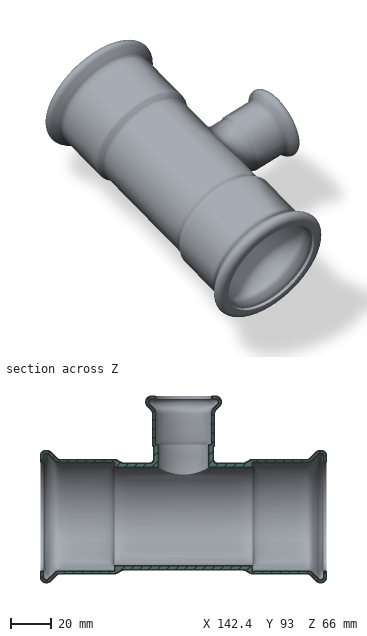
import cadquery as cq
import math

RUN_LENGTH = 142.4
BRANCH_REACH = 60.0
WALL = 1.5
NECK_WALL = 2.35
BEAD_ROUND = 3.0
FLARE_SLOPE = math.radians(45)
FLARE_ROUND = 2.0
STEP_SLOPE = math.radians(30)
JUNCTION_ROUND = 2.0

RUN_BEAD_RADIUS = 33.0
RUN_SOCKET_RADIUS = 57.0 / 2
RUN_NECK_RADIUS = 53.4 / 2
RUN_STEP_DEPTH = 37.0
RUN_STEP_ROUND = 2.0

BRANCH_BEAD_RADIUS = 18.85
BRANCH_SOCKET_RADIUS = 31.0 / 2
BRANCH_NECK_RADIUS = 29.8 / 2
BRANCH_STEP_DEPTH = 24.0
BRANCH_STEP_ROUND = 1.5


def on_circle(center, radius, angle):
    """(depth, radius) point on a circle, at an angle from the radial direction towards the tube middle.

    A negative radius gives the opposite side of the circle, as concave blends need.
    """
    return (center[0] + radius * math.sin(angle), center[1] + radius * math.cos(angle))


def add_bead_and_flare(profile, bead_radius, socket_radius, inset):
    """Continue a (depth, radius) profile from a mouth face, over the bead and down to the socket.

    An inset of zero gives the outer skin, and an inset of WALL gives the parallel inner skin.
    """
    bead_center = (BEAD_ROUND, bead_radius - BEAD_ROUND)
    bead_round = BEAD_ROUND - inset
    blend_round = FLARE_ROUND + inset

    blend_radius = socket_radius + FLARE_ROUND
    cone_gap = BEAD_ROUND + FLARE_ROUND
    blend_depth = bead_center[0] + (
        cone_gap - (blend_radius - bead_center[1]) * math.cos(FLARE_SLOPE)
    ) / math.sin(FLARE_SLOPE)
    blend_center = (blend_depth, blend_radius)

    return (
        profile.lineTo(inset, bead_center[1])
        .threePointArc(
            on_circle(bead_center, bead_round, (FLARE_SLOPE - math.pi / 2) / 2),
            on_circle(bead_center, bead_round, FLARE_SLOPE),
        )
        .lineTo(*on_circle(blend_center, -blend_round, FLARE_SLOPE))
        .threePointArc(
            on_circle(blend_center, -blend_round, FLARE_SLOPE / 2),
            on_circle(blend_center, -blend_round, 0),
        )
    )


def add_step(profile, socket_radius, neck_radius, depth, step_round):
    """Continue a profile along the socket and down the rounded cone to the neck."""
    round_run = step_round * math.sin(STEP_SLOPE)
    round_drop = step_round * (1 - math.cos(STEP_SLOPE))
    cone_drop = socket_radius - neck_radius - 2 * round_drop
    neck_depth = depth + 2 * round_run + cone_drop / math.tan(STEP_SLOPE)
    upper_center = (depth, socket_radius - step_round)
    lower_center = (neck_depth, neck_radius + step_round)
    return (
        profile.lineTo(depth, socket_radius)
        .threePointArc(
            on_circle(upper_center, step_round, STEP_SLOPE / 2),
            on_circle(upper_center, step_round, STEP_SLOPE),
        )
        .lineTo(*on_circle(lower_center, -step_round, STEP_SLOPE))
        .threePointArc(
            on_circle(lower_center, -step_round, STEP_SLOPE / 2),
            (neck_depth, neck_radius),
        )
    )


def revolve_profile(profile):
    """Close a profile on the tube axis and revolve it; the tube starts at the origin along +X."""
    return profile.close().revolve(360, (0, 0, 0), (1, 0, 0))


def tube_skin(length, bead_radius, socket_radius, neck_radius, step_depth, step_round):
    """Solid tube with bead, socket and neck, from its mouth to the given length."""
    profile = cq.Workplane("XY").moveTo(0, 0)
    profile = add_bead_and_flare(profile, bead_radius, socket_radius, 0)
    profile = add_step(profile, socket_radius, neck_radius, step_depth, step_round)
    return revolve_profile(profile.lineTo(length, neck_radius).lineTo(length, 0))


def tube_cavity(length, bead_radius, socket_radius, neck_radius, step_depth):
    """Inside of the tube: mouth, seal groove in the bead, socket, flat pipe stop and neck bore."""
    socket_bore_radius = socket_radius - WALL
    neck_bore_radius = neck_radius - NECK_WALL
    profile = cq.Workplane("XY").moveTo(0, 0)
    profile = profile.lineTo(0, socket_bore_radius).lineTo(WALL, socket_bore_radius)
    profile = add_bead_and_flare(profile, bead_radius, socket_radius, WALL)
    profile = profile.lineTo(step_depth, socket_bore_radius).lineTo(step_depth, neck_bore_radius)
    return revolve_profile(profile.lineTo(length, neck_bore_radius).lineTo(length, 0))


def place_run(half_tube):
    """Centre a half run on the origin and join it to its mirror image."""
    left_half = half_tube.translate((-RUN_LENGTH / 2, 0, 0))
    return left_half.union(left_half.mirror("YZ"))


def place_branch(tube):
    """Turn a tube so that its mouth faces +Y and it ends on the run axis."""
    return tube.rotate((0, 0, 0), (0, 0, 1), -90).translate((0, BRANCH_REACH, 0))


def fillet_junction(body):
    """Round the seam between the branch neck and the run neck."""
    seam_reach = BRANCH_NECK_RADIUS + JUNCTION_ROUND
    seam_zone = cq.selectors.BoxSelector(
        (-seam_reach, 0, -seam_reach),
        (seam_reach, RUN_NECK_RADIUS + JUNCTION_ROUND, seam_reach),
        boundingbox=True,
    )
    return body.edges(seam_zone).fillet(JUNCTION_ROUND)


run_sizes = (RUN_LENGTH / 2, RUN_BEAD_RADIUS, RUN_SOCKET_RADIUS, RUN_NECK_RADIUS, RUN_STEP_DEPTH)
branch_sizes = (
    BRANCH_REACH,
    BRANCH_BEAD_RADIUS,
    BRANCH_SOCKET_RADIUS,
    BRANCH_NECK_RADIUS,
    BRANCH_STEP_DEPTH,
)

run_skin = place_run(tube_skin(*run_sizes, RUN_STEP_ROUND))
branch_skin = place_branch(tube_skin(*branch_sizes, BRANCH_STEP_ROUND))
body = fillet_junction(run_skin.union(branch_skin))

run_cavity = place_run(tube_cavity(*run_sizes))
branch_cavity = place_branch(tube_cavity(*branch_sizes))

result = body.cut(run_cavity).cut(branch_cavity)